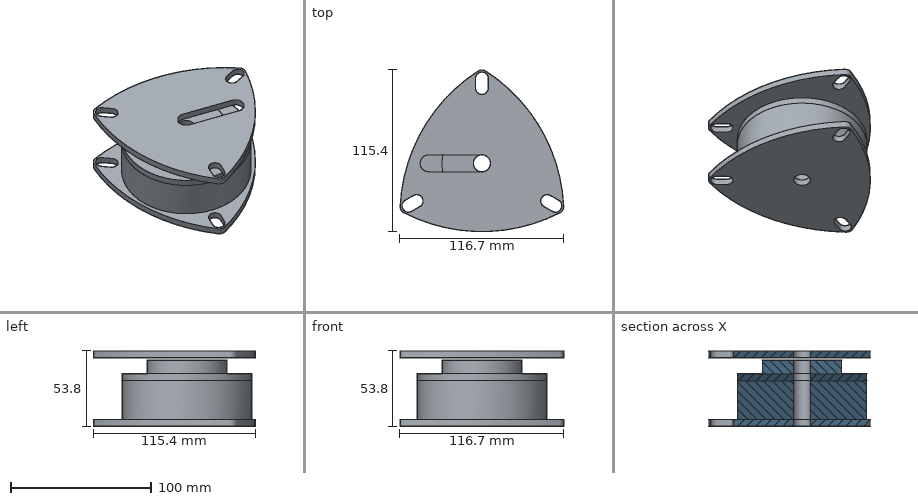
import cadquery as cq
import math

plate_thickness = 5.0
housing_height = 27.6
lid_thickness = 5.0
hub_height = 9.6
plate_gap = 1.6

bottom_plate_base = 0.0
housing_base = bottom_plate_base + plate_thickness
lid_base = housing_base + housing_height
hub_base = lid_base + lid_thickness
top_plate_base = hub_base + hub_height + plate_gap

housing_diameter = 92.44
hub_diameter = 57.0
bore_diameter = 12.0

corner_count = 3
corner_pitch = 360.0 / corner_count
first_corner_angle = 90.0
corner_angles = [first_corner_angle + index * corner_pitch for index in range(corner_count)]
corner_center_radius = 61.63
corner_radius = 5.0
side_radius = 121.7

corner_slot_outer_radius = 60.5
corner_slot_width = 9.0
corner_slot_travel = 6.8

guide_slot_travel = 38.0


def polar(radius, angle):
    """Point at a distance and an angle in degrees from the plate axis."""
    turn = math.radians(angle)
    return (radius * math.cos(turn), radius * math.sin(turn))


def plate_outline(base):
    """Closed outline of a plate on the plane at the given height."""
    half_pitch = corner_pitch / 2
    half_chord = corner_center_radius * math.sin(math.radians(half_pitch))
    chord_distance = corner_center_radius * math.cos(math.radians(half_pitch))
    side_center_offset = math.sqrt((side_radius - corner_radius) ** 2 - half_chord**2) - chord_distance
    side_middle_radius = side_radius - side_center_offset
    corner_half_turn = half_pitch - math.degrees(math.asin(half_chord / (side_radius - corner_radius)))

    def corner_point(corner_angle, turn):
        """Point on a corner arc, turned from the middle of that arc."""
        center = polar(corner_center_radius, corner_angle)
        offset = polar(corner_radius, corner_angle + turn)
        return (center[0] + offset[0], center[1] + offset[1])

    outline = cq.Workplane("XY", origin=(0, 0, base))
    outline = outline.moveTo(*corner_point(first_corner_angle, -corner_half_turn))
    for angle in corner_angles:
        outline = outline.threePointArc(corner_point(angle, 0), corner_point(angle, corner_half_turn))
        outline = outline.threePointArc(
            polar(side_middle_radius, angle + half_pitch),
            corner_point(angle + corner_pitch, -corner_half_turn),
        )
    return outline.close()


def corner_slot(base, angle):
    """Cutter for the radial slot in the plate corner at the given angle."""
    slot_middle_radius = corner_slot_outer_radius - corner_slot_travel / 2
    return (
        cq.Workplane("XY", origin=(0, 0, base))
        .center(*polar(slot_middle_radius, angle))
        .slot2D(corner_slot_travel + corner_slot_width, corner_slot_width, angle)
        .extrude(plate_thickness)
    )


def make_plate(base):
    """Plate with its corner slots, before any central opening."""
    plate = plate_outline(base).extrude(plate_thickness)
    for angle in corner_angles:
        plate = plate.cut(corner_slot(base, angle))
    return plate


def make_bored_disc(diameter, base, height):
    """Round body around the Z axis with the common bore."""
    return (
        cq.Workplane("XY", origin=(0, 0, base))
        .circle(diameter / 2)
        .circle(bore_diameter / 2)
        .extrude(height)
    )


def make_bottom_plate():
    """Plate under the housing, with the common bore."""
    bore = (
        cq.Workplane("XY", origin=(0, 0, bottom_plate_base))
        .circle(bore_diameter / 2)
        .extrude(plate_thickness)
    )
    return make_plate(bottom_plate_base).cut(bore)


def make_top_plate():
    """Plate above the hub, with the guide slot whose inner end lines up with the bore."""
    guide_slot = (
        cq.Workplane("XY", origin=(-guide_slot_travel / 2, 0, top_plate_base))
        .slot2D(guide_slot_travel + bore_diameter, bore_diameter)
        .extrude(plate_thickness)
    )
    return make_plate(top_plate_base).cut(guide_slot)


bottom_plate = make_bottom_plate()
housing = make_bored_disc(housing_diameter, housing_base, housing_height)
lid = make_bored_disc(housing_diameter, lid_base, lid_thickness)
hub = make_bored_disc(hub_diameter, hub_base, hub_height)
top_plate = make_top_plate()

result = cq.Compound.makeCompound(
    [bottom_plate.val(), housing.val(), lid.val(), hub.val(), top_plate.val()]
)